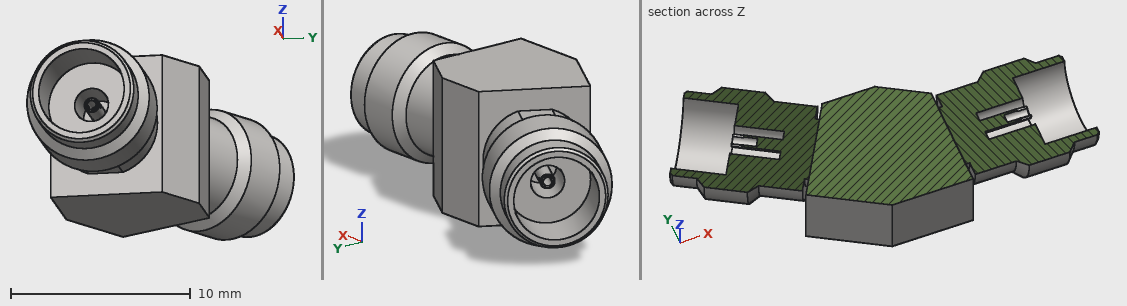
import cadquery as cq
import math

bend_angle = 30.0
face_distance = 4.02

block_size = 7.9
outer_offset = 3.15
inner_offset = block_size - outer_offset

neck_length = 0.2
neck_radius = 2.1
barrel_radius = 2.93
flat_offset = 2.77
barrel_length = 2.46
collar_radius = 3.46
rear_bevel_length = 0.55
collar_length = 2.45
front_bevel_length = 0.49
connector_length = 7.7
rim_chamfer = 0.16

socket_radius = 2.42
socket_depth = 3.1
recess_radius = 0.95
recess_depth = 2.8

contact_radius = 0.42
contact_bore_radius = 0.25
contact_bore_depth = 1.4
contact_slot_width = 0.1
contact_slot_depth = 0.6
contact_chamfer = 0.058

barrel_start = neck_length
barrel_end = barrel_start + barrel_length
collar_start = barrel_end + rear_bevel_length
collar_end = collar_start + collar_length
rim_start = collar_end + front_bevel_length
socket_floor = connector_length - socket_depth
recess_floor = socket_floor - recess_depth


def cylinder_along_x(start, end, radius):
    """Solid cylinder on the X axis between two stations."""
    return cq.Workplane("YZ", origin=(start, 0, 0)).circle(radius).extrude(end - start)


def make_housing():
    """Bent block: a six-sided outline that is symmetric about the bisector of the bend."""
    bend = math.radians(bend_angle)
    outer_corner_shift = outer_offset * math.tan(bend / 2)

    def on_left_arm(along, across):
        """Point at a distance along the left axis and across it, towards the inside of the bend."""
        x = -along * math.cos(bend) + across * math.sin(bend)
        y = along * math.sin(bend) + across * math.cos(bend)
        return x, y

    face_top = (inner_offset - face_distance * math.sin(bend)) / math.cos(bend)
    inner_corner_x = (inner_offset - inner_offset * math.cos(bend)) / math.sin(bend)
    outline = [
        (-outer_corner_shift, -outer_offset),
        (face_distance, -outer_offset),
        (face_distance, face_top),
        (inner_corner_x, inner_offset),
        on_left_arm(face_distance, face_top),
        on_left_arm(face_distance, -outer_offset),
    ]
    return cq.Workplane("XY").polyline(outline).close().extrude(block_size / 2, both=True)


def make_connector_shell():
    """Turned outside of the connector, with two flats on the rear barrel."""
    profile = [
        (0, 0),
        (0, neck_radius),
        (barrel_start, neck_radius),
        (barrel_start, barrel_radius),
        (barrel_end, barrel_radius),
        (collar_start, collar_radius),
        (collar_end, collar_radius),
        (rim_start, barrel_radius),
        (connector_length - rim_chamfer, barrel_radius),
        (connector_length, barrel_radius - rim_chamfer),
        (connector_length, 0),
    ]
    shell = cq.Workplane("XY").polyline(profile).close().revolve(360, (0, 0, 0), (1, 0, 0))
    flat_cut_height = barrel_radius - flat_offset
    for side in (1, -1):
        flat_cut = cq.Workplane("XY").box(barrel_length, 2 * barrel_radius, flat_cut_height).translate(
            (barrel_start + barrel_length / 2, 0, side * (flat_offset + flat_cut_height / 2))
        )
        shell = shell.cut(flat_cut)
    return shell


def make_contact():
    """Slotted tube that stands on the recess floor."""
    slot_floor = socket_floor - contact_slot_depth
    bore = cylinder_along_x(socket_floor - contact_bore_depth, socket_floor, contact_bore_radius)
    slot = cq.Workplane("XY").box(contact_slot_depth, 2 * contact_radius, contact_slot_width).translate(
        (slot_floor + contact_slot_depth / 2, 0, 0)
    )
    post = cylinder_along_x(recess_floor, socket_floor, contact_radius).faces(">X").chamfer(contact_chamfer)
    return post.cut(bore).cut(slot)


def make_connector():
    """Connector along +X, with its mounting face at x = 0."""
    socket = cylinder_along_x(socket_floor, connector_length, socket_radius)
    recess = cylinder_along_x(recess_floor, socket_floor, recess_radius)
    return make_connector_shell().cut(socket).cut(recess).union(make_contact())


housing = make_housing()

connectors = []
for axis_angle in (0, 180 - bend_angle):
    connector = make_connector().translate((face_distance, 0, 0))
    connectors.append(connector.rotate((0, 0, 0), (0, 0, 1), axis_angle).val())

result = cq.Compound.makeCompound([housing.val(), *connectors])